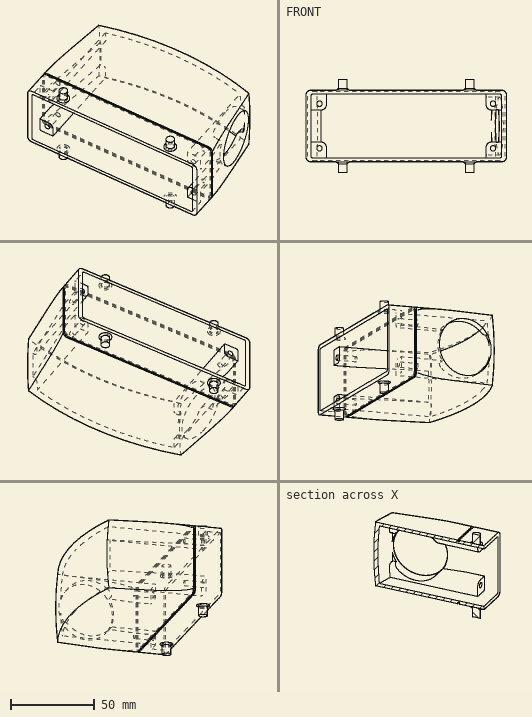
import cadquery as cq
import math

length = 120.5
depth = 77.6
height = 43.1
corner_radius = 3.1

end_wall = 3.0
side_wall = 2.4
roof_wall = 3.0
inner_corner_radius = 1.2
inner_lean_start = 21.2
end_lean = math.radians(7.5)

crown_radius = 192.8

groove_start = 16.5
groove_end = 17.6
groove_depth = 1.0

boss_length = 9.3
boss_height = 9.5
boss_radius = 3.0
boss_front = 9.0
screw_diameter = 3.3
screw_depth = 12.0
screw_x = 52.0
screw_z = 13.4

entry_diameter = 35.0
entry_y = 50.5
entry_start_x = 42.2

pin_diameter = 5.2
height_over_pins = 56.0
pin_x = 38.1
pin_y = 5.2
collar_diameter = 7.7
collar_height = 1.1

inner_length = length - 2 * end_wall
inner_height = height - 2 * side_wall
pin_length = (height_over_pins - height) / 2
crown_center_y = depth - crown_radius


def bar(x_size, z_size, y_start, y_end, radius):
    """Rounded rectangle in XZ, centred on the Y axis, running from y_start to y_end."""
    block = cq.Workplane("XY").box(x_size, y_end - y_start, z_size)
    return block.edges("|Y").fillet(radius).translate((0, (y_start + y_end) / 2, 0))


def lean_envelope(half_length, lean_start, radius):
    """Space inside a pair of leaning ends and under a spherical crown."""
    half_top = half_length - (depth - lean_start) * math.tan(end_lean)
    profile = [
        (-half_length, 0),
        (half_length, 0),
        (half_length, lean_start),
        (half_top, depth),
        (-half_top, depth),
        (-half_length, lean_start),
    ]
    prism = cq.Workplane("XY").polyline(profile).close().extrude(height / 2, both=True)
    ball = cq.Workplane("XY").sphere(radius).translate((0, crown_center_y, 0))
    return prism.intersect(ball)


def make_outside():
    """Solid hood with the groove cut around it."""
    hood = bar(length, height, 0, depth, corner_radius)
    hood = hood.intersect(lean_envelope(length / 2, groove_end, crown_radius))
    band = bar(length, height, groove_start, groove_end, corner_radius)
    neck = bar(
        length - 2 * groove_depth, height - 2 * groove_depth, groove_start, groove_end, corner_radius
    )
    return hood.cut(band.cut(neck))


def make_boss(side_x, side_z):
    """Corner boss running back to the roof; the block is centred on the corner of the cavity,
    so only the quarter with its one rounded edge stands inside."""
    boss = cq.Workplane("XY").box(2 * boss_length, depth - boss_front, 2 * boss_height)
    boss = boss.edges("|Y").fillet(boss_radius)
    boss_center = (side_x * inner_length / 2, (depth + boss_front) / 2, side_z * inner_height / 2)
    return boss.translate(boss_center)


def make_cavity():
    """Inner space open at the mouth, less the four bosses."""
    space = bar(inner_length, inner_height, 0, depth, inner_corner_radius)
    space = space.intersect(
        lean_envelope(inner_length / 2, inner_lean_start, crown_radius - roof_wall)
    )
    for side_x in (-1, 1):
        for side_z in (-1, 1):
            space = space.cut(make_boss(side_x, side_z))
    return space


def make_housing():
    """Hollow hood with blind screw holes and the cable entry through the +X end."""
    housing = make_outside().cut(make_cavity())
    for side_x in (-1, 1):
        for side_z in (-1, 1):
            screw_hole = cq.Solid.makeCylinder(
                screw_diameter / 2,
                screw_depth,
                cq.Vector(side_x * screw_x, boss_front, side_z * screw_z),
                cq.Vector(0, 1, 0),
            )
            housing = housing.cut(cq.Workplane(screw_hole))
    entry = cq.Solid.makeCylinder(
        entry_diameter / 2,
        length / 2 - entry_start_x,
        cq.Vector(entry_start_x, entry_y, 0),
        cq.Vector(1, 0, 0),
    )
    return housing.cut(cq.Workplane(entry))


def make_pin():
    """Pin standing on the XY plane."""
    return cq.Workplane("XY").circle(pin_diameter / 2).extrude(pin_length)


def make_collar():
    """Ring around the pin's foot, tapering from its base to nothing at the pin."""
    profile = [(pin_diameter / 2, 0), (collar_diameter / 2, 0), (pin_diameter / 2, collar_height)]
    return cq.Workplane("XZ").polyline(profile).close().revolve(360, (0, 0, 0), (0, 1, 0))


def place_on_side(body, x, side_z):
    """Stand a body on the +Z or -Z side face at the given X."""
    if side_z < 0:
        body = body.mirror("XY")
    return body.translate((x, pin_y, side_z * height / 2))


housing = make_housing()
pins = []
collars = []
for x in (-pin_x, pin_x):
    for side_z in (-1, 1):
        pins.append(place_on_side(make_pin(), x, side_z).val())
        collars.append(place_on_side(make_collar(), x, side_z).val())

result = cq.Compound.makeCompound([housing.val(), *pins, *collars])